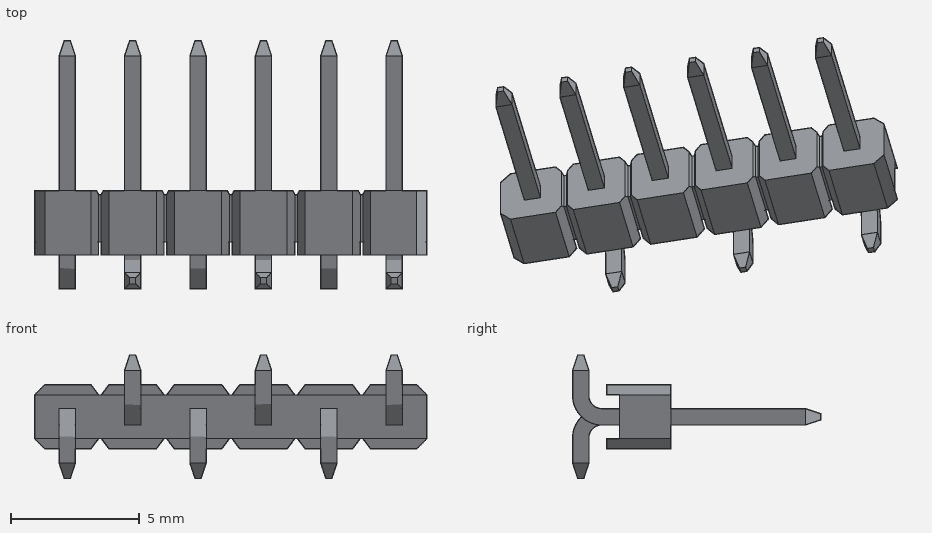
import cadquery as cq

PIN_COUNT = 6
PITCH = 2.54
TOTAL_DEPTH = 9.65
TOTAL_HEIGHT = 4.8
BODY_LENGTH = PIN_COUNT * PITCH

BODY_DEPTH = 2.5
BODY_HEIGHT = 2.5
CORE_DEPTH = 2.0
CORE_HEIGHT = 1.7
RAIL_GAP = 0.1
RAIL_BEVEL = 0.3
END_BEVEL = 0.4
NOTCH_DEPTH = 0.15
NOTCH_WIDTH = 0.25

PIN_SIZE = 0.64
TIP_LENGTH = 0.6
TIP_SIZE = 0.24
BEND_INNER_RADIUS = 0.5
MATING_LENGTH = 5.83

BACK_TIP_Y = TOTAL_DEPTH / 2
LEG_FRONT_Y = -TOTAL_DEPTH / 2
BODY_BACK_Y = BACK_TIP_Y - MATING_LENGTH
BEND_OUTER_RADIUS = BEND_INNER_RADIUS + PIN_SIZE
BEND_START_Y = LEG_FRONT_Y + BEND_OUTER_RADIUS
LEG_CENTER_Y = LEG_FRONT_Y + PIN_SIZE / 2
BODY_LEFT_X = -BODY_LENGTH / 2


def box_between(x_range, y_range, z_range):
    """Axis-aligned box spanning the given coordinate ranges."""
    size = [high - low for low, high in (x_range, y_range, z_range)]
    corner = (x_range[0], y_range[0], z_range[0])
    return cq.Workplane("XY").box(*size, centered=False).translate(corner)


def make_core():
    """Plain bar that joins all positions."""
    return box_between(
        (BODY_LEFT_X, -BODY_LEFT_X),
        (BODY_BACK_Y - CORE_DEPTH, BODY_BACK_Y),
        (-CORE_HEIGHT / 2, CORE_HEIGHT / 2),
    )


def make_rail_block(index):
    """Bevelled block on top of the core, overhanging it at the front."""
    is_first = index == 0
    is_last = index == PIN_COUNT - 1
    cell_left = BODY_LEFT_X + index * PITCH
    left = cell_left + (0 if is_first else RAIL_GAP / 2)
    right = cell_left + PITCH - (0 if is_last else RAIL_GAP / 2)
    left_bevel = END_BEVEL if is_first else RAIL_BEVEL
    right_bevel = END_BEVEL if is_last else RAIL_BEVEL
    base_z = CORE_HEIGHT / 2
    top_z = BODY_HEIGHT / 2
    outline = [
        (left, base_z),
        (right, base_z),
        (right - right_bevel, top_z),
        (left + left_bevel, top_z),
    ]
    plane = cq.Workplane("XZ", origin=(0, BODY_BACK_Y, 0))
    return plane.polyline(outline).close().extrude(BODY_DEPTH)


def make_break_notch(joint):
    """V-shaped cutter down the back face at one joint between positions."""
    x = BODY_LEFT_X + joint * PITCH
    outline = [
        (x - NOTCH_WIDTH / 2, BODY_BACK_Y),
        (x + NOTCH_WIDTH / 2, BODY_BACK_Y),
        (x + RAIL_GAP / 2, BODY_BACK_Y - NOTCH_DEPTH),
        (x - RAIL_GAP / 2, BODY_BACK_Y - NOTCH_DEPTH),
    ]
    plane = cq.Workplane("XY", origin=(0, 0, -BODY_HEIGHT / 2))
    return plane.polyline(outline).close().extrude(BODY_HEIGHT)


def make_body():
    body = make_core()
    for index in range(PIN_COUNT):
        upper_block = make_rail_block(index)
        body = body.union(upper_block).union(upper_block.mirror("XY"))
    for joint in range(1, PIN_COUNT):
        body = body.cut(make_break_notch(joint))
    return body


def make_tip(center, direction):
    """Square pyramid frustum narrowing from its base center along direction."""
    base = cq.Workplane(cq.Plane(origin=center, xDir=(1, 0, 0), normal=direction))
    frustum = base.rect(PIN_SIZE, PIN_SIZE).workplane(offset=TIP_LENGTH)
    return frustum.rect(TIP_SIZE, TIP_SIZE).loft(ruled=True)


def make_pin(x):
    """Square pin with a straight mating end and a leg bent downwards."""
    half = PIN_SIZE / 2
    mating_end_y = BACK_TIP_Y - TIP_LENGTH
    leg_end_z = -TOTAL_HEIGHT / 2 + TIP_LENGTH
    leg_back_y = LEG_FRONT_Y + PIN_SIZE
    bend_center_z = -half - BEND_INNER_RADIUS
    shank = (
        cq.Workplane("YZ", origin=(x - half, 0, 0))
        .moveTo(mating_end_y, half)
        .lineTo(BEND_START_Y, half)
        .radiusArc((LEG_FRONT_Y, bend_center_z), -BEND_OUTER_RADIUS)
        .lineTo(LEG_FRONT_Y, leg_end_z)
        .lineTo(leg_back_y, leg_end_z)
        .lineTo(leg_back_y, bend_center_z)
        .radiusArc((BEND_START_Y, -half), BEND_INNER_RADIUS)
        .lineTo(mating_end_y, -half)
        .close()
        .extrude(PIN_SIZE)
    )
    mating_tip = make_tip((x, mating_end_y, 0), (0, 1, 0))
    leg_tip = make_tip((x, LEG_CENTER_Y, leg_end_z), (0, 0, -1))
    return shank.union(mating_tip).union(leg_tip)


result = make_body()
for position in range(PIN_COUNT):
    pin = make_pin(BODY_LEFT_X + (position + 0.5) * PITCH)
    if position % 2 == 1:
        pin = pin.mirror("XY")
    result = result.union(pin)